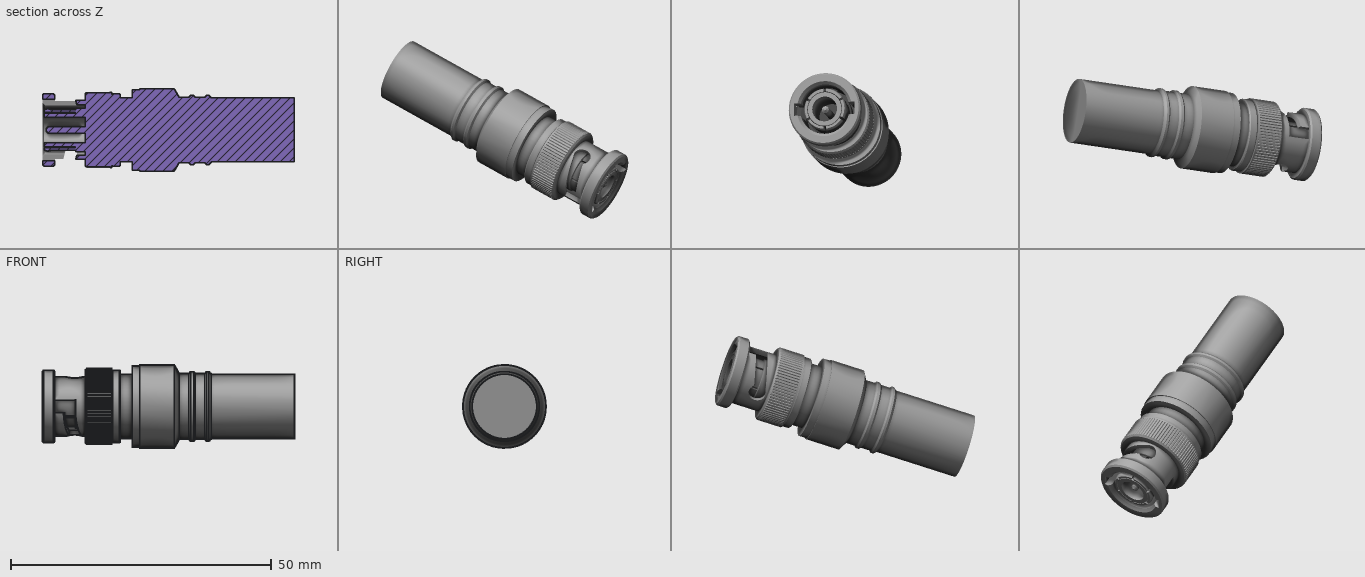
import cadquery as cq
TOTAL_LENGTH = 48.5

FLANGE_RADIUS = 7.0
FLANGE_LENGTH = 2.4
FLANGE_CHAMFER = 0.3
NECK_RADIUS = 5.72

GRIP_START = 8.22
GRIP_END = 13.35
GRIP_RADIUS = 7.3
GRIP_CHAMFER = 0.35
GROOVE_END = 13.05
GROOVE_COUNT = 80
GROOVE_WIDTH = 0.22
GROOVE_DEPTH = 0.15

COLLAR_END = 15.0
COLLAR_RADIUS = 7.0
COLLAR_CHAMFER = 0.2
JOURNAL_RADIUS = 6.2

BODY_START = 17.25
STEP_END = 18.7
STEP_RADIUS = 7.8
BODY_END = 25.35
BODY_RADIUS = 8.0
SHOULDER_END = 26.3

SLEEVE_RADIUS = 6.35
TUBE_RADIUS = 6.2
RING_RADIUS = 6.7
FRONT_RING_START = 28.17
FRONT_RING_TOP = 0.54
REAR_RING_START = 31.23
REAR_RING_TOP = 0.42

SOCKET_RADIUS = 4.82
SOCKET_DEPTH = GRIP_START
MOUTH_RADIUS = 5.37
MOUTH_DEPTH = MOUTH_RADIUS - SOCKET_RADIUS

KEYWAY_WIDTH = 2.4
KEYWAY_REACH = 5.9
LOCK_X = 6.2
LOCK_DIAMETER = 3.3
RAMP_WIDTH = 2.35
RAMP_SLOPE = 1.5 / NECK_RADIUS

CONTACT_FRONT = 0.35
CONTACT_TIP_RADIUS = 3.85
CONTACT_BULGE_RADIUS = 4.1
CONTACT_BULGE_X = 1.0
CONTACT_WAIST_RADIUS = 3.9
CONTACT_WAIST_X = 1.7
CONTACT_BORE_RADIUS = 3.4
CONTACT_END = 6.3
CONTACT_BASE_RADIUS = 4.2
CONTACT_BASE_TAPER = 0.15
SLIT_COUNT = 6
SLIT_WIDTH = 0.45
INSULATOR_RADIUS = 3.28
INSULATOR_BORE_RADIUS = 2.42
PIN_FRONT = 0.7
PIN_RADIUS = 0.68
PIN_TIP_RADIUS = 0.2
PIN_TIP_LENGTH = 0.4


def revolve_profile(points):
    """Turn an (x, radius) outline about the X axis."""
    return cq.Workplane("XY").polyline(points).close().revolve(360, (0, 0, 0), (1, 0, 0))


def cylinder_along_x(radius, start, end):
    return cq.Workplane("YZ", origin=(start, 0, 0)).circle(radius).extrude(end - start)


def half_turn(shape):
    return shape.rotate((0, 0, 0), (1, 0, 0), 180)


def ring_outline(start, top_length, front_radius, rear_radius):
    """Outline of a ring with 45 degree flanks."""
    top_start = start + RING_RADIUS - front_radius
    top_end = top_start + top_length
    return [
        (start, front_radius),
        (top_start, RING_RADIUS),
        (top_end, RING_RADIUS),
        (top_end + RING_RADIUS - rear_radius, rear_radius),
    ]


def make_outer_body():
    outline = [
        (0, 0),
        (0, FLANGE_RADIUS - FLANGE_CHAMFER),
        (FLANGE_CHAMFER, FLANGE_RADIUS),
        (FLANGE_LENGTH - FLANGE_CHAMFER, FLANGE_RADIUS),
        (FLANGE_LENGTH, FLANGE_RADIUS - FLANGE_CHAMFER),
        (FLANGE_LENGTH, NECK_RADIUS),
        (GRIP_START, NECK_RADIUS),
        (GRIP_START, GRIP_RADIUS - GRIP_CHAMFER),
        (GRIP_START + GRIP_CHAMFER, GRIP_RADIUS),
        (GRIP_END, GRIP_RADIUS),
        (GRIP_END, COLLAR_RADIUS - COLLAR_CHAMFER),
        (GRIP_END + COLLAR_CHAMFER, COLLAR_RADIUS),
        (COLLAR_END - COLLAR_CHAMFER, COLLAR_RADIUS),
        (COLLAR_END, COLLAR_RADIUS - COLLAR_CHAMFER),
        (COLLAR_END, JOURNAL_RADIUS),
        (BODY_START, JOURNAL_RADIUS),
        (BODY_START, STEP_RADIUS),
        (STEP_END, STEP_RADIUS),
        (STEP_END, BODY_RADIUS),
        (BODY_END, BODY_RADIUS),
        (SHOULDER_END, SLEEVE_RADIUS),
    ]
    outline += ring_outline(FRONT_RING_START, FRONT_RING_TOP, SLEEVE_RADIUS, SLEEVE_RADIUS)
    outline += ring_outline(REAR_RING_START, REAR_RING_TOP, SLEEVE_RADIUS, TUBE_RADIUS)
    outline += [(TOTAL_LENGTH, TUBE_RADIUS), (TOTAL_LENGTH, 0)]
    return revolve_profile(outline)


def make_knurl_grooves():
    """V grooves along the grip, open at its front and closed before its rear edge."""
    overlap = GROOVE_DEPTH
    half_width = GROOVE_WIDTH / 2 * (GROOVE_DEPTH + overlap) / GROOVE_DEPTH
    groove = (
        cq.Workplane("YZ", origin=(GRIP_START, 0, 0))
        .polyline([
            (GRIP_RADIUS - GROOVE_DEPTH, 0),
            (GRIP_RADIUS + overlap, half_width),
            (GRIP_RADIUS + overlap, -half_width),
        ])
        .close()
        .extrude(GROOVE_END - GRIP_START)
        .val()
    )
    pitch = 360 / GROOVE_COUNT
    return [groove.rotate((0, 0, 0), (1, 0, 0), i * pitch) for i in range(GROOVE_COUNT)]


def make_socket():
    return revolve_profile([
        (0, 0),
        (0, MOUTH_RADIUS),
        (MOUTH_DEPTH, SOCKET_RADIUS),
        (SOCKET_DEPTH, SOCKET_RADIUS),
        (SOCKET_DEPTH, 0),
    ])


def make_bayonet_cut():
    """Keyway on the +Y side, the slanted ramp rising from its lower edge, and the locking hole on top."""
    keyway = cq.Workplane("XY").box(
        LOCK_X, KEYWAY_REACH, KEYWAY_WIDTH, centered=(False, False, True)
    )
    lock_hole = cq.Workplane("XY").center(LOCK_X, 0).circle(LOCK_DIAMETER / 2).extrude(FLANGE_RADIUS)
    ramp_rear = LOCK_X + LOCK_DIAMETER / 2
    ramp_shift = RAMP_SLOPE * KEYWAY_REACH
    ramp = (
        cq.Workplane("XY", origin=(0, 0, -KEYWAY_WIDTH / 2))
        .polyline([
            (ramp_rear, 0),
            (ramp_rear - ramp_shift, KEYWAY_REACH),
            (ramp_rear - ramp_shift - RAMP_WIDTH, KEYWAY_REACH),
            (ramp_rear - RAMP_WIDTH, 0),
        ])
        .close()
        .extrude(KEYWAY_WIDTH / 2 + FLANGE_RADIUS)
    )
    core = cylinder_along_x(SOCKET_RADIUS, 0, GRIP_START)
    return keyway.union(lock_hole).union(ramp).cut(core)


def make_contact_sleeve():
    """Slit tube with a bulged tip and a narrower waist, standing on a solid base ring."""
    sleeve = (
        cq.Workplane("XY")
        .moveTo(CONTACT_FRONT, CONTACT_BORE_RADIUS)
        .lineTo(CONTACT_FRONT, CONTACT_TIP_RADIUS)
        .threePointArc(
            (CONTACT_BULGE_X, CONTACT_BULGE_RADIUS),
            (CONTACT_WAIST_X, CONTACT_WAIST_RADIUS),
        )
        .lineTo(CONTACT_END, CONTACT_WAIST_RADIUS)
        .lineTo(CONTACT_END, CONTACT_BORE_RADIUS)
        .close()
        .revolve(360, (0, 0, 0), (1, 0, 0))
    )
    slit = cq.Workplane("XY").box(CONTACT_END, SLIT_WIDTH, SOCKET_RADIUS, centered=(False, True, False))
    for i in range(SLIT_COUNT):
        sleeve = sleeve.cut(slit.rotate((0, 0, 0), (1, 0, 0), i * 360 / SLIT_COUNT))
    base = revolve_profile([
        (CONTACT_END, INSULATOR_BORE_RADIUS),
        (CONTACT_END, CONTACT_WAIST_RADIUS),
        (CONTACT_END + CONTACT_BASE_TAPER, CONTACT_BASE_RADIUS),
        (SOCKET_DEPTH, CONTACT_BASE_RADIUS),
        (SOCKET_DEPTH, INSULATOR_BORE_RADIUS),
    ])
    return sleeve.union(base)


def make_insulator():
    outer = cylinder_along_x(INSULATOR_RADIUS, CONTACT_FRONT, SOCKET_DEPTH)
    bore = cylinder_along_x(INSULATOR_BORE_RADIUS, CONTACT_FRONT, SOCKET_DEPTH)
    return outer.cut(bore)


def make_pin():
    return revolve_profile([
        (PIN_FRONT, 0),
        (PIN_FRONT, PIN_TIP_RADIUS),
        (PIN_FRONT + PIN_TIP_LENGTH, PIN_RADIUS),
        (SOCKET_DEPTH, PIN_RADIUS),
        (SOCKET_DEPTH, 0),
    ])


shell = make_outer_body().cut(make_socket())
bayonet_cut = make_bayonet_cut()
shell = shell.cut(bayonet_cut).cut(half_turn(bayonet_cut))
shell = cq.Workplane(shell.val().cut(*make_knurl_grooves()))
result = shell.union(make_contact_sleeve()).union(make_insulator()).union(make_pin())